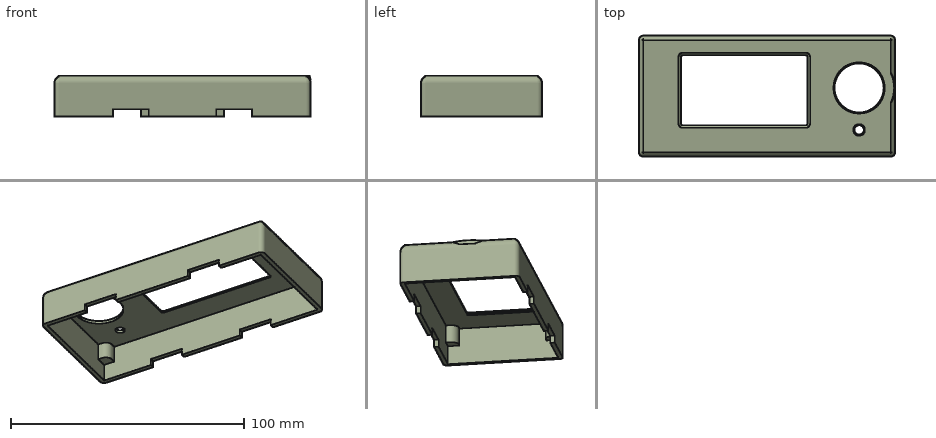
import math

import cadquery as cq

length = 110.0
width = 52.0
height = 17.6
wall = 2.0
roof = 1.8

edge_chamfer = 2.0
corner_radius = edge_chamfer
shoulder_radius = 3.0
chamfer_angle = math.radians(45)

window_length = 54.2
window_width = 30.0
window_x = -9.75
window_y = 2.5
window_chamfer = 1.15
window_corner_radius = 0.8

knob_x = 39.5
knob_y = 3.5
knob_diameter = 21.0
button_y = -14.5
button_diameter = 4.0
hole_chamfer = 0.5

collar_top_diameter = 30.0
collar_flare = 0.5

notch_width = 15.4
notch_height = 3.1
front_notch_x = 22.1
back_notch_x = 25.6

post_radius = 3.0
post_inset = 2.0
post_bottom = 8.1

inner_length = length - 2 * wall
inner_width = width - 2 * wall
roof_underside = height - roof
sides = (-1, 1)


def edge_profile(plane, half_width):
    """Half cross-section from the axis: base, upright wall, round shoulder and 45 degree chamfer."""
    chamfer_foot = height - edge_chamfer
    setback = shoulder_radius * math.tan(chamfer_angle / 2)
    diagonal_setback = setback * math.cos(chamfer_angle)
    centre_x = half_width - shoulder_radius
    centre_z = chamfer_foot - setback
    arc_middle = (
        centre_x + shoulder_radius * math.cos(chamfer_angle / 2),
        centre_z + shoulder_radius * math.sin(chamfer_angle / 2),
    )
    arc_end = (half_width - diagonal_setback, chamfer_foot + diagonal_setback)
    return (
        cq.Workplane(plane)
        .lineTo(half_width, 0)
        .lineTo(half_width, centre_z)
        .threePointArc(arc_middle, arc_end)
        .lineTo(half_width - edge_chamfer, height)
    )


def outer_body():
    """Solid block with round upright corners and the same edge profile all the way round."""
    half_straight_x = length / 2 - corner_radius
    half_straight_y = width / 2 - corner_radius
    section_across_y = edge_profile("YZ", width / 2).lineTo(0, height).mirrorY()
    section_across_x = edge_profile("XZ", length / 2).lineTo(0, height).mirrorY()
    body = section_across_y.extrude(half_straight_x, both=True)
    body = body.union(section_across_x.extrude(half_straight_y, both=True))
    corner = edge_profile("XZ", corner_radius).close().revolve(360, (0, 0, 0), (0, 1, 0))
    for side_x in sides:
        for side_y in sides:
            body = body.union(corner.translate((side_x * half_straight_x, side_y * half_straight_y, 0)))
    return body


def knob_collar():
    """Round thickening of the roof around the knob hole, flaring out downward over the chamfer."""
    top_radius = collar_top_diameter / 2
    base = cq.Workplane("XY").workplane(offset=roof_underside).center(knob_x, knob_y)
    footprint = base.circle(top_radius + collar_flare)
    return footprint.workplane(offset=roof).circle(top_radius).loft()


def cavity():
    """Hollow inside, open at the bottom."""
    return cq.Workplane("XY").rect(inner_length, inner_width).extrude(roof_underside)


def corner_post(side_x, side_y):
    """Post with one round corner, grown into two walls and the roof."""
    reach = post_radius + post_inset
    post = cq.Workplane("XY").workplane(offset=post_bottom)
    post = post.center(side_x * (inner_length - reach) / 2, side_y * (inner_width - reach) / 2)
    post = post.rect(reach, reach).extrude(roof_underside - post_bottom)
    inward_x = "<X" if side_x > 0 else ">X"
    inward_y = "<Y" if side_y > 0 else ">Y"
    return post.edges("|Z").edges(inward_x).edges(inward_y).fillet(post_radius)


def rounded_rectangle(size_x, size_y, radius):
    return cq.Sketch().rect(size_x, size_y).vertices().fillet(radius)


def window_cutter():
    """Through window with a 45 degree chamfer on its top rim."""
    opening = rounded_rectangle(window_length, window_width, window_corner_radius)
    rim = rounded_rectangle(
        window_length + 2 * window_chamfer,
        window_width + 2 * window_chamfer,
        window_corner_radius + window_chamfer,
    )
    cutter = cq.Workplane("XY").placeSketch(opening).extrude(height)
    bevel = cq.Workplane("XY").workplane(offset=height).placeSketch(rim)
    cutter = cutter.union(bevel.extrude(-window_chamfer, taper=math.degrees(chamfer_angle)))
    return cutter.translate((window_x, window_y, 0))


def round_cutter(y, diameter):
    """Through hole in line with the knob, with a chamfered top rim."""
    radius = diameter / 2
    profile = (
        cq.Workplane("XZ")
        .lineTo(radius, 0)
        .lineTo(radius, height - hole_chamfer)
        .lineTo(radius + hole_chamfer, height)
        .lineTo(0, height)
        .close()
    )
    return profile.revolve(360, (0, 0, 0), (0, 1, 0)).translate((knob_x, y, 0))


def notch_cutter(x, side_y):
    """Notch through one long wall, open at the bottom; side_y picks the front or back wall."""
    notch = cq.Workplane("XY").rect(notch_width, 2 * wall).extrude(notch_height)
    return notch.translate((x, side_y * width / 2, 0))


result = outer_body().union(knob_collar()).cut(cavity())
for side_x in sides:
    for side_y in sides:
        result = result.union(corner_post(side_x, side_y))
    result = result.cut(notch_cutter(side_x * front_notch_x, -1))
    result = result.cut(notch_cutter(side_x * back_notch_x, 1))
result = result.cut(window_cutter())
result = result.cut(round_cutter(knob_y, knob_diameter))
result = result.cut(round_cutter(button_y, button_diameter))